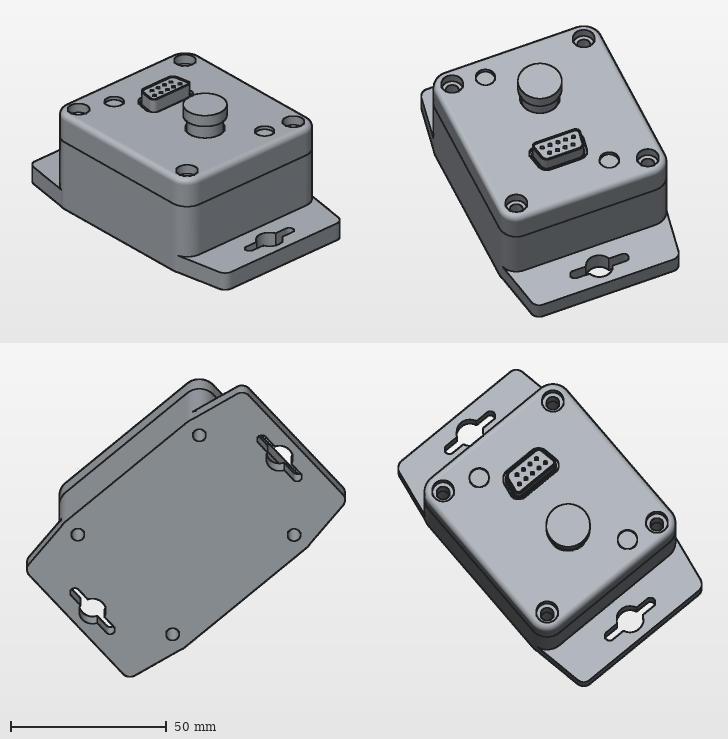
import cadquery as cq
import math

BODY_LENGTH = 64.0
BODY_WIDTH = 58.0
CORNER_RADIUS = 6.0
BASE_HEIGHT = 25.0
LID_TOP = 35.0
LID_EDGE_FILLET = 2.0

FLANGE_LENGTH = 94.0
FLANGE_THICKNESS = 6.3
FLANGE_TAPER = 10.0
FLANGE_CORNER_RADIUS = 3.0
KEYHOLE_SPACING = 80.0
KEYHOLE_DIAMETER = 8.65
KEYHOLE_SLOT_WIDTH = 3.1
KEYHOLE_SLOT_LENGTH = 20.2

SCREW_SPACING_X = BODY_LENGTH - 2 * CORNER_RADIUS
SCREW_SPACING_Y = BODY_WIDTH - 2 * CORNER_RADIUS
SCREW_HOLE_DIAMETER = 4.2
SCREW_HEAD_DIAMETER = 7.05
SCREW_HEAD_DEPTH = 3.3

RECESS_DEPTH = 1.2
LAMP_DIAMETER = 6.3
LAMP_CENTERS = [(24.25, 12.1), (-21.9, -11.3)]

CONNECTOR_CENTER = (-12.8, 2.2)
CONNECTOR_DEPTH = 8.0
CONNECTOR_WIDE_SIDE = 17.1
CONNECTOR_SIDE_ANGLE = 10.0
CONNECTOR_WIDE_RADIUS = 1.6
CONNECTOR_NARROW_RADIUS = 2.3
CONNECTOR_HEIGHT = 3.95
CONNECTOR_CLEARANCE = 1.1
CONNECTOR_FOOT_FLARE = 0.4
CONNECTOR_FOOT_HEIGHT = 0.5
CONNECTOR_RIM = 0.5
CONNECTOR_FACE_DEPTH = 0.2
SOCKET_DIAMETER = 1.1
SOCKET_DEPTH = 2.35
SOCKET_PITCH = 2.7
SOCKET_ROW_SPACING = 2.8
WIDE_ROW_COUNT = 5
NARROW_ROW_COUNT = WIDE_ROW_COUNT - 1

BUTTON_CENTER = (10.0, -0.75)
BUTTON_TOP = 43.7
BUTTON_CAP_DIAMETER = 14.1
BUTTON_CAP_HEIGHT = 4.0
BUTTON_STEM_DIAMETER = 11.8
BUTTON_RECESS_DIAMETER = 12.8


def rounded_block(bottom, top):
    """Block with the enclosure footprint between two heights."""
    return (
        cq.Workplane("XY", origin=(0, 0, bottom))
        .rect(BODY_LENGTH, BODY_WIDTH)
        .extrude(top - bottom)
        .edges("|Z")
        .fillet(CORNER_RADIUS)
    )


def screw_points(height):
    """Workplane holding the four screw centres at one height."""
    return (
        cq.Workplane("XY", origin=(0, 0, height))
        .rect(SCREW_SPACING_X, SCREW_SPACING_Y, forConstruction=True)
        .vertices()
    )


def screw_holes():
    """Four bores through the whole enclosure."""
    return screw_points(0).circle(SCREW_HOLE_DIAMETER / 2).extrude(LID_TOP)


def make_flange():
    """Plate whose long sides taper from the enclosure corners to both ends."""
    end_x = FLANGE_LENGTH / 2
    root_x = BODY_LENGTH / 2 - CORNER_RADIUS
    root_y = BODY_WIDTH / 2
    end_y = root_y - (end_x - root_x) * math.tan(math.radians(FLANGE_TAPER))
    outline = [
        (-root_x, -root_y),
        (root_x, -root_y),
        (end_x, -end_y),
        (end_x, end_y),
        (root_x, root_y),
        (-root_x, root_y),
        (-end_x, end_y),
        (-end_x, -end_y),
    ]
    plate = cq.Workplane("XY").polyline(outline).close().extrude(FLANGE_THICKNESS)
    return plate.edges("|Z and (<X or >X)").fillet(FLANGE_CORNER_RADIUS)


def make_keyholes():
    """Round openings with a slot running both ways along Y."""
    centers = [(-KEYHOLE_SPACING / 2, 0), (KEYHOLE_SPACING / 2, 0)]
    plane = cq.Workplane("XY").pushPoints(centers)
    rounds = plane.circle(KEYHOLE_DIAMETER / 2).extrude(FLANGE_THICKNESS)
    slots = plane.slot2D(KEYHOLE_SLOT_LENGTH, KEYHOLE_SLOT_WIDTH, 90).extrude(FLANGE_THICKNESS)
    return rounds.union(slots)


def make_base():
    base = rounded_block(0, BASE_HEIGHT).union(make_flange())
    return base.cut(make_keyholes()).cut(screw_holes())


def connector_block(bottom, height, offset):
    """D-shaped block whose walls lie `offset` outside the connector shell."""
    half_depth = CONNECTOR_DEPTH / 2
    wide_y = CONNECTOR_WIDE_SIDE / 2
    narrow_y = wide_y - CONNECTOR_DEPTH * math.tan(math.radians(CONNECTOR_SIDE_ANGLE))
    outline = [
        (half_depth, -wide_y),
        (half_depth, wide_y),
        (-half_depth, narrow_y),
        (-half_depth, -narrow_y),
    ]
    block = (
        cq.Workplane("XY", origin=(*CONNECTOR_CENTER, bottom))
        .polyline(outline)
        .close()
        .offset2D(offset, "intersection")
        .extrude(height)
    )
    block = block.edges("|Z and >X").fillet(CONNECTOR_WIDE_RADIUS + offset)
    return block.edges("|Z and <X").fillet(CONNECTOR_NARROW_RADIUS + offset)


def make_lid():
    lid = rounded_block(BASE_HEIGHT, LID_TOP).faces(">Z").edges().fillet(LID_EDGE_FILLET)
    screw_heads = (
        screw_points(LID_TOP - SCREW_HEAD_DEPTH)
        .circle(SCREW_HEAD_DIAMETER / 2)
        .extrude(SCREW_HEAD_DEPTH)
    )
    floor = LID_TOP - RECESS_DEPTH
    lamps = (
        cq.Workplane("XY", origin=(0, 0, floor))
        .pushPoints(LAMP_CENTERS)
        .circle(LAMP_DIAMETER / 2)
        .extrude(RECESS_DEPTH)
    )
    connector_recess = connector_block(floor, RECESS_DEPTH, CONNECTOR_CLEARANCE)
    button_recess = (
        cq.Workplane("XY", origin=(*BUTTON_CENTER, floor))
        .circle(BUTTON_RECESS_DIAMETER / 2)
        .extrude(RECESS_DEPTH)
    )
    lid = lid.cut(screw_holes()).cut(screw_heads)
    return lid.cut(lamps).cut(connector_recess).cut(button_recess)


def make_sockets(top):
    """Two staggered rows of blind contact holes below the connector face."""
    center_x, center_y = CONNECTOR_CENTER
    rows = [
        (center_x + SOCKET_ROW_SPACING / 2, WIDE_ROW_COUNT),
        (center_x - SOCKET_ROW_SPACING / 2, NARROW_ROW_COUNT),
    ]
    centers = []
    for row_x, count in rows:
        for index in range(count):
            centers.append((row_x, center_y + (index - (count - 1) / 2) * SOCKET_PITCH))
    return (
        cq.Workplane("XY", origin=(0, 0, top - SOCKET_DEPTH))
        .pushPoints(centers)
        .circle(SOCKET_DIAMETER / 2)
        .extrude(SOCKET_DEPTH)
    )


def make_connector():
    """Connector standing on the recess floor, with a flared foot and a raised rim."""
    bottom = LID_TOP - RECESS_DEPTH
    shell = connector_block(bottom, RECESS_DEPTH + CONNECTOR_HEIGHT, 0)
    foot = connector_block(bottom, CONNECTOR_FOOT_HEIGHT, CONNECTOR_FOOT_FLARE)
    foot = foot.faces(">Z").edges().chamfer(CONNECTOR_FOOT_FLARE)
    face_height = LID_TOP + CONNECTOR_HEIGHT - CONNECTOR_FACE_DEPTH
    face_recess = connector_block(face_height, CONNECTOR_FACE_DEPTH, -CONNECTOR_RIM)
    return shell.union(foot).cut(face_recess).cut(make_sockets(face_height))


def make_button():
    """Wide cap on a narrower stem that stands on the floor of its recess."""
    stem_bottom = LID_TOP - RECESS_DEPTH
    cap_bottom = BUTTON_TOP - BUTTON_CAP_HEIGHT
    stem = (
        cq.Workplane("XY", origin=(*BUTTON_CENTER, stem_bottom))
        .circle(BUTTON_STEM_DIAMETER / 2)
        .extrude(cap_bottom - stem_bottom)
    )
    cap = (
        cq.Workplane("XY", origin=(*BUTTON_CENTER, cap_bottom))
        .circle(BUTTON_CAP_DIAMETER / 2)
        .extrude(BUTTON_CAP_HEIGHT)
    )
    return stem.union(cap)


base = make_base()
lid = make_lid()
connector = make_connector()
button = make_button()

result = cq.Compound.makeCompound([base.val(), lid.val(), connector.val(), button.val()])